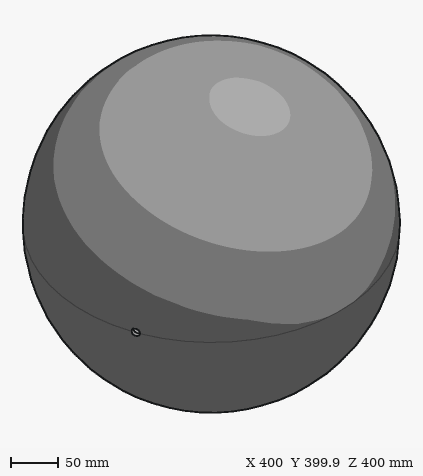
import cadquery as cq

ball_diameter = 400.0
wall_thickness = 5.0
hole_diameter = 9.5

outer_radius = ball_diameter / 2
inner_radius = outer_radius - wall_thickness


def make_upper_dome(radius):
    """Solid upper half ball, turned so that its surface seam lies on the -X side."""
    dome = cq.Workplane("XY").sphere(radius, angle1=0, angle2=90)
    return dome.rotate((0, 0, 0), (0, 0, 1), 180)


def make_hollow_ball():
    """Two half shells joined without cleaning, which keeps the seam between them."""
    upper_shell = make_upper_dome(outer_radius).cut(make_upper_dome(inner_radius), clean=False)
    lower_shell = upper_shell.mirror("XY")
    return upper_shell.union(lower_shell, clean=False)


def make_hole_cutter():
    """Round bar along Y, from the ball centre out through the -Y side."""
    return cq.Workplane("XZ").circle(hole_diameter / 2).extrude(ball_diameter)


result = make_hollow_ball().cut(make_hole_cutter(), clean=False)